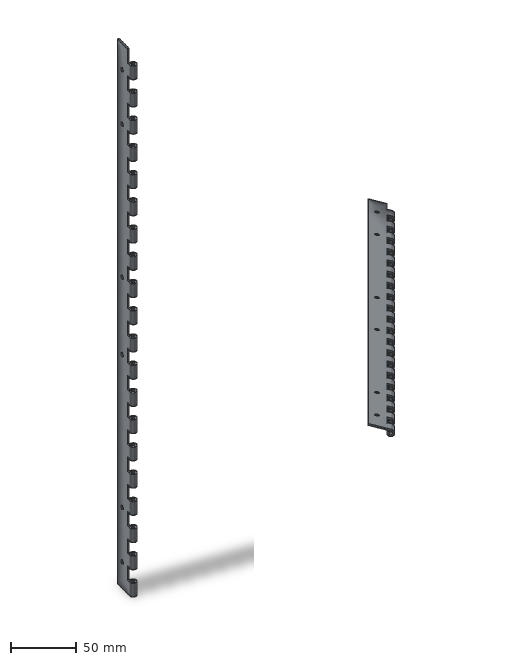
import cadquery as cq
import math

length = 520.0
overall_width = 21.77
sheet_thickness = 1.5
leaf_width = 15.0

knuckle_count = 20
knuckle_pitch = length / knuckle_count
knuckle_length = knuckle_pitch / 2
knuckle_outer_radius = 3.0
knuckle_inner_radius = knuckle_outer_radius - sheet_thickness
knuckle_x = overall_width - knuckle_outer_radius
knuckle_y = knuckle_outer_radius
curl_gap = 0.3

hole_diameter = 3.5
hole_x = 7.0
hole_offsets_from_middle = (37.0, 183.0, 235.0)


def make_leaf():
    """Flat leaf with its -Y face on Y = 0 and its lower end on Z = 0."""
    return cq.Workplane("XY").box(leaf_width, sheet_thickness, length, centered=False)


def on_knuckle_circle(radius, angle):
    """Point at an angle from +X on a circle about the pin axis."""
    return (knuckle_x + radius * math.cos(angle), knuckle_y + radius * math.sin(angle))


def make_knuckle():
    """Tongue that runs on from the leaf and curls back almost to the sheet."""
    start_angle = -math.pi / 2
    end_height_below_axis = knuckle_y - sheet_thickness - curl_gap
    end_angle = math.pi + math.asin(end_height_below_axis / knuckle_outer_radius)
    middle_angle = (start_angle + end_angle) / 2
    return (
        cq.Workplane("XY")
        .moveTo(leaf_width, 0)
        .lineTo(knuckle_x, 0)
        .threePointArc(
            on_knuckle_circle(knuckle_outer_radius, middle_angle),
            on_knuckle_circle(knuckle_outer_radius, end_angle),
        )
        .lineTo(*on_knuckle_circle(knuckle_inner_radius, end_angle))
        .threePointArc(
            on_knuckle_circle(knuckle_inner_radius, middle_angle),
            (knuckle_x, sheet_thickness),
        )
        .lineTo(leaf_width, sheet_thickness)
        .close()
        .extrude(knuckle_length)
    )


def make_screw_holes():
    """Cylinders along Y that pass through the leaf."""
    middle = length / 2
    heights = [middle + side * offset for offset in hole_offsets_from_middle for side in (-1, 1)]
    return (
        cq.Workplane("XZ")
        .pushPoints([(hole_x, height) for height in heights])
        .circle(hole_diameter / 2)
        .extrude(-sheet_thickness)
    )


strip = make_leaf()
knuckle = make_knuckle()
for index in range(knuckle_count):
    strip = strip.union(knuckle.translate((0, 0, index * knuckle_pitch)))
result = strip.cut(make_screw_holes())